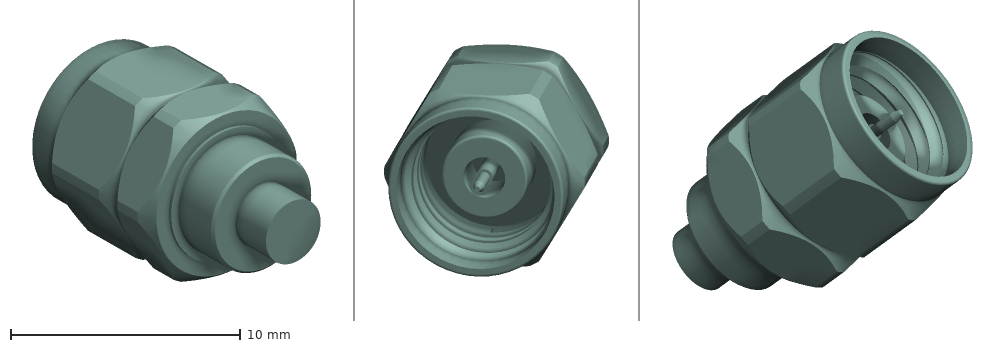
import cadquery as cq
import math

coupling_hex_start = 1.51
coupling_hex_end = 6.1
body_hex_end = 8.78
flange_end = 8.95
sleeve_end = 11.36
total_length = 13.49

ring_diameter = 7.77
hex_flats = 7.92
hex_corner_diameter = 8.88
hex_chamfer_length = 0.65
flange_diameter = 6.37
sleeve_diameter = 5.58
cable_diameter = 3.05
edge_break = 0.12

socket_diameter = 7.0
thread_minor_diameter = 5.99
thread_root_diameter = 6.96
counterbore_depth = 1.21
lead_in_end = 1.78
socket_depth = 4.45

thread_pitch = 0.75
thread_turns = 4
groove_start = 0.93
crest_width = 0.07
root_width = 0.07
profile_overlap = 0.03

tube_diameter = 3.8
tube_bore_diameter = 1.85
contact_start = 2.16
pin_base_diameter = 0.75
pin_diameter = 0.51
pin_tip_diameter = 0.25
pin_tip_start = 0.47
pin_taper_length = 0.4


def cylinder(diameter, start, end):
    """Cylinder on the X axis between two stations."""
    return cq.Workplane("YZ", origin=(start, 0, 0)).circle(diameter / 2).extrude(end - start)


def revolve_about_x(points):
    """Solid of revolution from (x, radius) points."""
    return cq.Workplane("XY").polyline(points).close().revolve(360, (0, 0, 0), (1, 0, 0))


def hex_section(start, end):
    """Hexagon with flats up and down, its corners rounded and its ends chamfered by cones."""
    across_corners = hex_flats / math.cos(math.radians(30))
    prism = cq.Workplane("YZ", origin=(start, 0, 0)).polygon(6, across_corners).extrude(end - start)
    envelope = revolve_about_x([
        (start, 0),
        (start, ring_diameter / 2),
        (start + hex_chamfer_length, hex_corner_diameter / 2),
        (end - hex_chamfer_length, hex_corner_diameter / 2),
        (end, ring_diameter / 2),
        (end, 0),
    ])
    return prism.intersect(envelope)


def outer_body():
    ring = cylinder(ring_diameter, 0, coupling_hex_start).faces("<X").edges().fillet(edge_break)
    sleeve = cylinder(sleeve_diameter, flange_end, sleeve_end).faces(">X").edges().chamfer(edge_break)
    return (
        ring
        .union(hex_section(coupling_hex_start, coupling_hex_end))
        .union(hex_section(coupling_hex_end, body_hex_end))
        .union(cylinder(flange_diameter, body_hex_end, flange_end))
        .union(sleeve)
        .union(cylinder(cable_diameter, sleeve_end, total_length))
    )


def socket():
    """Plain counterbore, conical lead-in and thread minor bore."""
    return revolve_about_x([
        (0, 0),
        (0, socket_diameter / 2),
        (counterbore_depth, socket_diameter / 2),
        (lead_in_end, thread_minor_diameter / 2),
        (socket_depth, thread_minor_diameter / 2),
        (socket_depth, 0),
    ])


def thread_groove():
    """V groove swept along a helix on Z, then turned onto the X axis."""
    minor_radius = thread_minor_diameter / 2
    root_radius = thread_root_diameter / 2
    half_root = root_width / 2
    half_mouth = (thread_pitch - crest_width) / 2
    flank_slope = (half_mouth - half_root) / (root_radius - minor_radius)
    inner_radius = minor_radius - profile_overlap
    half_inner = half_mouth + profile_overlap * flank_slope
    helix = cq.Wire.makeHelix(thread_pitch, thread_pitch * thread_turns, minor_radius)
    groove = (
        cq.Workplane("XZ")
        .polyline([
            (inner_radius, -half_inner),
            (root_radius, -half_root),
            (root_radius, half_root),
            (inner_radius, half_inner),
        ])
        .close()
        .sweep(cq.Workplane(helix), isFrenet=True)
    )
    return groove.rotate((0, 0, 0), (0, 1, 0), 90).translate((groove_start, 0, 0))


def contact_tube():
    tube = cylinder(tube_diameter, contact_start, socket_depth).faces("<X").edges().fillet(edge_break)
    return tube.cut(cylinder(tube_bore_diameter, contact_start, socket_depth))


def center_pin():
    return revolve_about_x([
        (pin_tip_start, 0),
        (pin_tip_start, pin_tip_diameter / 2),
        (pin_tip_start + pin_taper_length, pin_diameter / 2),
        (contact_start, pin_diameter / 2),
        (contact_start, pin_base_diameter / 2),
        (socket_depth, pin_base_diameter / 2),
        (socket_depth, 0),
    ])


shell = outer_body().cut(socket()).cut(thread_groove())
result = shell.union(contact_tube()).union(center_pin())